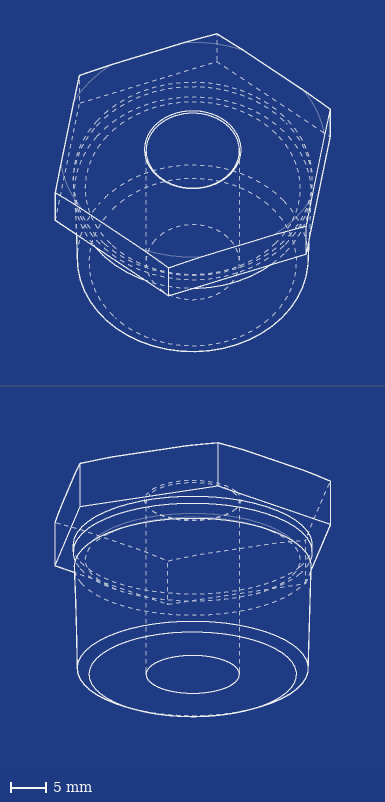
import cadquery as cq
import math

across_corners = 41.55
total_height = 27.0
head_height = 7.0
head_top_diameter = 37.65
head_chamfer_angle = 8.0

collar_diameter = 33.85
collar_height = 1.1
groove_diameter = 30.45
groove_root_radius = 0.35
groove_flank_angle = 30.0
taper_top_diameter = 33.55
taper_bottom_diameter = 32.7
tip_diameter = 29.35
tip_height = 0.9

bore_diameter = 13.18
bore_mouth_diameter = 13.65

head_bottom = total_height - head_height
collar_bottom = head_bottom - collar_height

flank_slope = math.radians(groove_flank_angle)
root_half_height = groove_root_radius * math.cos(flank_slope)
root_edge_radius = groove_diameter / 2 + groove_root_radius * (1 - math.sin(flank_slope))
root_top = collar_bottom - (collar_diameter / 2 - root_edge_radius) * math.tan(flank_slope)
root_middle = root_top - root_half_height
root_bottom = root_middle - root_half_height
taper_top = root_bottom - (taper_top_diameter / 2 - root_edge_radius) * math.tan(flank_slope)


def revolve_profile(points):
    """Revolve a closed (radius, height) outline about the Z axis."""
    return cq.Workplane("XZ").polyline(points).close().revolve(360, (0, 0, 0), (0, 1, 0))


def make_head():
    """Hexagonal prism with its corners trimmed by a shallow cone."""
    prism = (
        cq.Workplane("XY")
        .workplane(offset=head_bottom)
        .polygon(6, across_corners)
        .extrude(head_height)
    )
    corner_radius = across_corners / 2
    top_radius = head_top_diameter / 2
    corner_drop = (corner_radius - top_radius) * math.tan(math.radians(head_chamfer_angle))
    envelope = revolve_profile([
        (0, head_bottom),
        (corner_radius, head_bottom),
        (corner_radius, total_height - corner_drop),
        (top_radius, total_height),
        (0, total_height),
    ])
    return prism.intersect(envelope)


def make_shank():
    """Collar, relief groove, tapered body and chamfered tip."""
    return (
        cq.Workplane("XZ")
        .moveTo(0, 0)
        .lineTo(tip_diameter / 2, 0)
        .lineTo(taper_bottom_diameter / 2, tip_height)
        .lineTo(taper_top_diameter / 2, taper_top)
        .lineTo(root_edge_radius, root_bottom)
        .threePointArc((groove_diameter / 2, root_middle), (root_edge_radius, root_top))
        .lineTo(collar_diameter / 2, collar_bottom)
        .lineTo(collar_diameter / 2, head_bottom)
        .lineTo(0, head_bottom)
        .close()
        .revolve(360, (0, 0, 0), (0, 1, 0))
    )


def make_bore():
    """Through hole with a 45 degree chamfer at the head."""
    mouth_depth = (bore_mouth_diameter - bore_diameter) / 2
    return revolve_profile([
        (0, 0),
        (bore_diameter / 2, 0),
        (bore_diameter / 2, total_height - mouth_depth),
        (bore_mouth_diameter / 2, total_height),
        (0, total_height),
    ])


result = make_head().union(make_shank()).cut(make_bore())